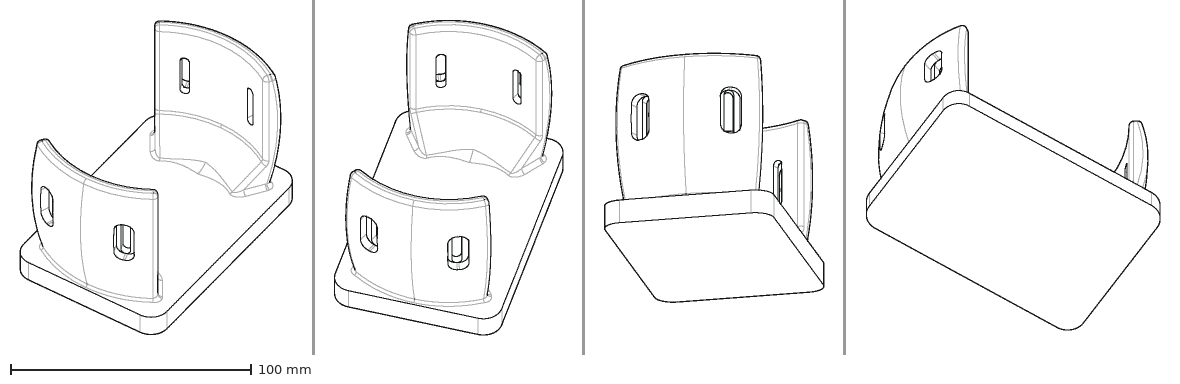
import cadquery as cq
import math


base_width = 72.0
base_length = 106.0
base_thickness = 10.0
base_corner_radius = 8.0

overall_height = 72.0
barrel_radius = 56.0
barrel_profile_radius = 125.0
barrel_middle_z = 46.0
wall_inner_radius = 48.0
wall_half_angle = 35.0

gusset_size = 14.0
gusset_top_z = base_thickness + gusset_size
gusset_foot_radius = wall_inner_radius - gusset_size

wall_edge_radius = 2.0
foot_outer_radius = 0.9
foot_end_radius = 1.8
foot_inner_corner_radius = 1.4
foot_inner_middle_radius = 7.0

slot_angle = 20.0
slot_height = 20.0
slot_width = 4.0
recess_width = 8.7
recess_corner_radius = 3.9
recess_offset = 0.3
recess_floor_radius = 51.5
slot_clearance = 5.6

tolerance = 0.01


def outer_radius_at(z):
    """Radius of the barrel surface at height z."""
    rise = z - barrel_middle_z
    sag = barrel_profile_radius - math.sqrt(barrel_profile_radius**2 - rise**2)
    return barrel_radius - sag


def edges_where(part, accept):
    """Select the edges of a part whose centre passes a test."""
    return part.newObject([edge for edge in part.edges().vals() if accept(edge.Center())])


def make_base():
    """Quarter of the base plate."""
    plate = cq.Workplane("XY").box(base_width / 2, base_length / 2, base_thickness, centered=False)
    return plate.edges("|Z and >X and >Y").fillet(base_corner_radius)


def is_end_foot_edge(centre):
    """Foot line of the free end, a radial line on the base."""
    bearing = math.degrees(math.atan2(centre.x, centre.y))
    on_base_top = abs(centre.z - base_thickness) < tolerance
    return on_base_top and abs(bearing - wall_half_angle) < tolerance


def is_end_edge_or_gusset_top(centre):
    """Upright edges of the free end of the wall, and the top line of the gusset."""
    end_min_x = gusset_foot_radius * math.sin(math.radians(wall_half_angle))
    on_end = centre.x > end_min_x - tolerance and base_thickness + tolerance < centre.z < overall_height - tolerance
    on_gusset_top = abs(centre.z - gusset_top_z) < tolerance
    return on_end or on_gusset_top


def is_top_edge(centre):
    """Rim of the wall top, without its edge in the symmetry plane."""
    return centre.z > overall_height - tolerance and centre.x > tolerance


def make_wall():
    """Half of a wall with its gusset, edges rounded."""
    profile = (
        cq.Workplane("YZ")
        .moveTo(gusset_foot_radius, base_thickness)
        .lineTo(outer_radius_at(base_thickness), base_thickness)
        .threePointArc((barrel_radius, barrel_middle_z), (outer_radius_at(overall_height), overall_height))
        .lineTo(wall_inner_radius, overall_height)
        .lineTo(wall_inner_radius, gusset_top_z)
        .close()
    )
    wall = profile.revolve(wall_half_angle, (0, 0, 0), (0, 1, 0)).mirror("YZ")
    wall = edges_where(wall, is_end_edge_or_gusset_top).fillet(wall_edge_radius)
    return edges_where(wall, is_top_edge).fillet(wall_edge_radius)


def round_foot(part):
    """Round the foot line of the wall with a radius that varies along it."""
    stretch_radii = [
        (foot_outer_radius, foot_outer_radius),
        (foot_outer_radius, foot_end_radius),
        (foot_end_radius, foot_end_radius),
        (foot_end_radius, foot_inner_corner_radius),
        (foot_inner_corner_radius, foot_inner_middle_radius),
    ]
    first_edge = edges_where(part, is_end_foot_edge).val()
    rounding = cq.occ_impl.shapes.BRepFilletAPI_MakeFillet(part.solids().val().wrapped)
    rounding.Add(foot_end_radius, first_edge.wrapped)
    edge_count = rounding.NbEdges(1)
    chain = [cq.Edge(rounding.Edge(1, number)) for number in range(1, edge_count + 1)]
    if chain[0].Center().y < chain[-1].Center().y:
        stretch_radii = [(end, start) for start, end in reversed(stretch_radii)]
    for number, (start, end) in enumerate(stretch_radii, 1):
        rounding.SetRadius(start, end, 1, number)
    return cq.Workplane(obj=cq.Shape.cast(rounding.Shape()))


def make_slot_cutter():
    """Narrow slot through the wall plus the wide recess outside it, turned to the slot angle."""
    outward = barrel_radius + slot_clearance
    slot_start = wall_inner_radius - slot_clearance
    slot = (
        cq.Workplane("XZ", origin=(0, slot_start, barrel_middle_z))
        .slot2D(slot_height, slot_width, 90)
        .extrude(slot_start - outward)
    )
    recess = (
        cq.Workplane("XZ", origin=(recess_offset, recess_floor_radius, barrel_middle_z))
        .rect(recess_width, slot_height)
        .extrude(recess_floor_radius - outward)
        .edges("|Y")
        .fillet(recess_corner_radius)
    )
    return slot.union(recess).rotate((0, 0, 0), (0, 0, 1), -slot_angle)


def mirror_to_all_quarters(quarter):
    half = quarter.union(quarter.mirror("YZ"))
    return half.union(half.mirror("XZ"))


body = mirror_to_all_quarters(round_foot(make_base().union(make_wall())))
result = body.cut(mirror_to_all_quarters(make_slot_cutter()))